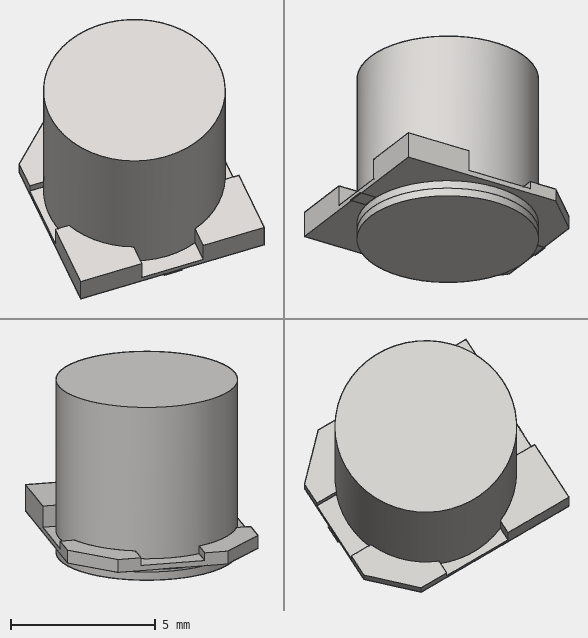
import cadquery as cq

overall_length = 7.55
can_diameter = 6.3
can_top = 6.3
plug_height = 0.3

base_length = 7.46
base_width = 6.8
base_bottom = 0.6
floor_top = 0.785
low_corner_top = 1.065
high_corner_top = 1.555
corner_chamfer = 1.44
gap_along_x = 2.49
gap_along_y = 2.27

lead_width = 0.65
lead_thickness = 0.01


def make_plug():
    """Disc that closes the lower end of the can."""
    return cq.Workplane("XY").circle(can_diameter / 2).extrude(plug_height)


def make_can():
    """Plain cylinder standing on the plug."""
    height = can_top - plug_height
    return cq.Workplane("XY", origin=(0, 0, plug_height)).circle(can_diameter / 2).extrude(height)


def make_corner_block(x_side, y_side, top):
    """Block that fills one corner of the base up to the given height."""
    length = (base_length - gap_along_x) / 2
    width = (base_width - gap_along_y) / 2
    center = (x_side * (gap_along_x + length) / 2, y_side * (gap_along_y + width) / 2, base_bottom)
    return cq.Workplane("XY", origin=center).rect(length, width).extrude(top - base_bottom)


def make_base():
    """Thin floor with four raised corners, two of them chamfered, bored for the can and recessed for the leads."""
    floor_thickness = floor_top - base_bottom
    plane = cq.Workplane("XY", origin=(0, 0, base_bottom))
    base = plane.rect(base_length, base_width).extrude(floor_thickness)
    for y_side in (-1, 1):
        base = base.union(make_corner_block(-1, y_side, low_corner_top))
        base = base.union(make_corner_block(1, y_side, high_corner_top))
    base = base.edges("|Z and <X").edges("<Y or >Y").chamfer(corner_chamfer)
    bore = plane.circle(can_diameter / 2).extrude(high_corner_top - base_bottom)
    base = base.cut(bore)
    for x_side in (-1, 1):
        base = base.cut(make_lead(x_side))
    return base


def make_lead(x_side):
    """Strip running from the can wall to just past the end of the base."""
    length = (overall_length - can_diameter) / 2
    center = (x_side * (can_diameter + length) / 2, 0, base_bottom)
    return cq.Workplane("XY", origin=center).rect(length, lead_width).extrude(lead_thickness)


plug = make_plug()
can = make_can()
base = make_base()
leads = [make_lead(x_side).val() for x_side in (-1, 1)]

result = cq.Compound.makeCompound([plug.val(), can.val(), base.val(), *leads])